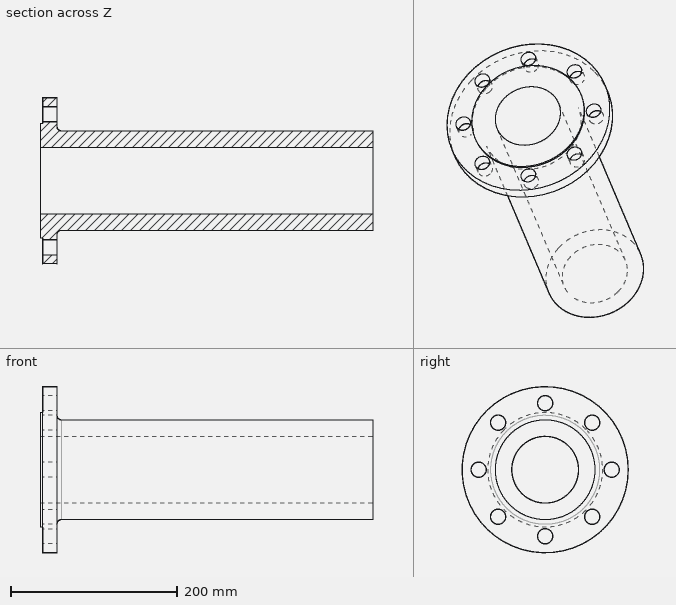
import cadquery as cq

total_length = 400.0
pipe_diameter = 120.0
bore_diameter = 80.0

flange_diameter = 200.0
flange_thickness = 17.0
face_diameter = 138.0
face_height = 3.0
neck_fillet = 5.5

bolt_count = 8
bolt_circle_diameter = 160.0
bolt_hole_diameter = 18.0

face_x = -total_length / 2
flange_front_x = face_x + face_height
flange_back_x = flange_front_x + flange_thickness


def cylinder_along_x(diameter, start_x, length):
    return cq.Workplane("YZ", origin=(start_x, 0, 0)).circle(diameter / 2).extrude(length)


def neck_edge():
    """Box around the corner circle where the pipe meets the flange."""
    margin = 0.5
    reach = pipe_diameter / 2 + margin
    return cq.selectors.BoxSelector(
        (flange_back_x - margin, -reach, -reach),
        (flange_back_x + margin, reach, reach),
        boundingbox=True,
    )


raised_face = cylinder_along_x(face_diameter, face_x, face_height)
flange = cylinder_along_x(flange_diameter, flange_front_x, flange_thickness)
pipe = cylinder_along_x(pipe_diameter, face_x, total_length)
body = pipe.union(flange).union(raised_face)
body = body.edges(neck_edge()).fillet(neck_fillet)

bore = cylinder_along_x(bore_diameter, face_x, total_length)

bolt_holes = (
    cq.Workplane("YZ", origin=(flange_front_x, 0, 0))
    .polarArray(bolt_circle_diameter / 2, 0, 360, bolt_count)
    .circle(bolt_hole_diameter / 2)
    .extrude(flange_thickness)
)

result = body.cut(bore).cut(bolt_holes)